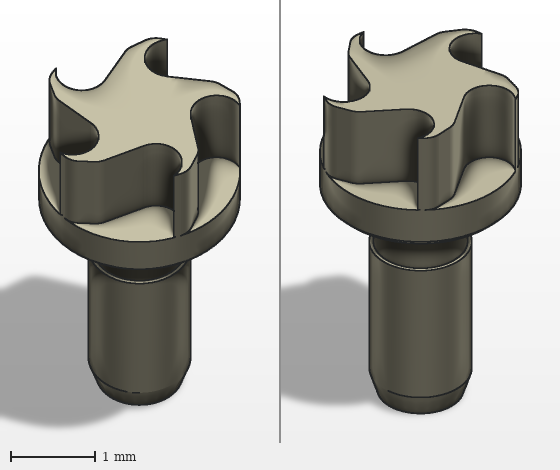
import cadquery as cq
import math

total_height = 4.5
tip_height = 0.3
groove_bottom = 2.15
groove_top = 2.65
flange_bottom = 2.9
flange_top = 3.45

head_radius = 2.4 / 2
pin_radius = 1.225 / 2
groove_radius = 1.125 / 2
tip_radius = 1.035 / 2
flange_chamfer = 0.09

tooth_count = 5
pocket_radius = 0.31
wall_x = -0.58
pocket_center_y = 0.24
wall_end_y = 0.765
bend_radius = 0.24
bend_angle = math.radians(30)


def turned_body():
    """Pin and flange as one revolved profile."""
    profile = [
        (0, 0),
        (tip_radius, 0),
        (pin_radius, tip_height),
        (pin_radius, groove_bottom),
        (groove_radius, groove_bottom),
        (groove_radius, groove_top),
        (pin_radius, groove_top),
        (pin_radius, flange_bottom),
        (head_radius - flange_chamfer, flange_bottom),
        (head_radius, flange_bottom + flange_chamfer),
        (head_radius, flange_top),
        (0, flange_top),
    ]
    return cq.Workplane("XZ").polyline(profile).close().revolve(360, (0, 0), (0, 1))


def bend_point(center, angle):
    """Point on a tooth bend, turned clockwise by angle from the -X side."""
    return (center[0] - bend_radius * math.cos(angle), center[1] + bend_radius * math.sin(angle))


def pocket_points():
    """Named points along one pocket, from the head circle down the flank and round the root."""
    first_center = (wall_x + bend_radius, wall_end_y)

    center_distance = head_radius - bend_radius
    flank_direction = (math.sin(bend_angle), math.cos(bend_angle))
    first_along = first_center[0] * flank_direction[0] + first_center[1] * flank_direction[1]
    offset = first_center[1] * flank_direction[0] - first_center[0] * flank_direction[1]
    flank_length = math.sqrt(center_distance**2 - offset**2) - first_along
    last_center = (
        first_center[0] + flank_length * flank_direction[0],
        first_center[1] + flank_length * flank_direction[1],
    )
    touch_angle = math.atan2(last_center[1], -last_center[0])

    root_center = (wall_x - pocket_radius, pocket_center_y)
    root_distance = math.hypot(*root_center)
    tip_cosine = (head_radius**2 + root_distance**2 - pocket_radius**2) / (2 * head_radius * root_distance)
    tip_angle = math.atan2(root_center[1], root_center[0]) + math.acos(tip_cosine)

    return {
        "touch": bend_point(last_center, touch_angle),
        "last_middle": bend_point(last_center, (bend_angle + touch_angle) / 2),
        "flank_end": bend_point(last_center, bend_angle),
        "flank_start": bend_point(first_center, bend_angle),
        "first_middle": bend_point(first_center, bend_angle / 2),
        "wall_end": (wall_x, wall_end_y),
        "root_start": (wall_x, pocket_center_y),
        "root_bottom": (root_center[0], root_center[1] - pocket_radius),
        "tip": (head_radius * math.cos(tip_angle), head_radius * math.sin(tip_angle)),
    }


def turned_point(point, angle):
    """Point turned counterclockwise about the pin axis."""
    return (
        point[0] * math.cos(angle) - point[1] * math.sin(angle),
        point[0] * math.sin(angle) + point[1] * math.cos(angle),
    )


def toothed_head():
    """Star of curved teeth whose outer lands lie on the head circle."""
    points = pocket_points()
    pitch = 2 * math.pi / tooth_count
    next_touch = turned_point(points["touch"], pitch)
    land_angle = math.atan2(points["tip"][1] + next_touch[1], points["tip"][0] + next_touch[0])
    land_middle = (head_radius * math.cos(land_angle), head_radius * math.sin(land_angle))

    outline = cq.Workplane("XY", origin=(0, 0, flange_top)).moveTo(*points["touch"])
    for index in range(tooth_count):
        angle = index * pitch
        turned = {name: turned_point(point, angle) for name, point in points.items()}
        outline = (
            outline.threePointArc(turned["last_middle"], turned["flank_end"])
            .lineTo(*turned["flank_start"])
            .threePointArc(turned["first_middle"], turned["wall_end"])
            .lineTo(*turned["root_start"])
            .threePointArc(turned["root_bottom"], turned["tip"])
            .threePointArc(turned_point(land_middle, angle), turned_point(next_touch, angle))
        )
    return outline.close().extrude(total_height - flange_top)


result = turned_body().union(toothed_head(), clean=False)